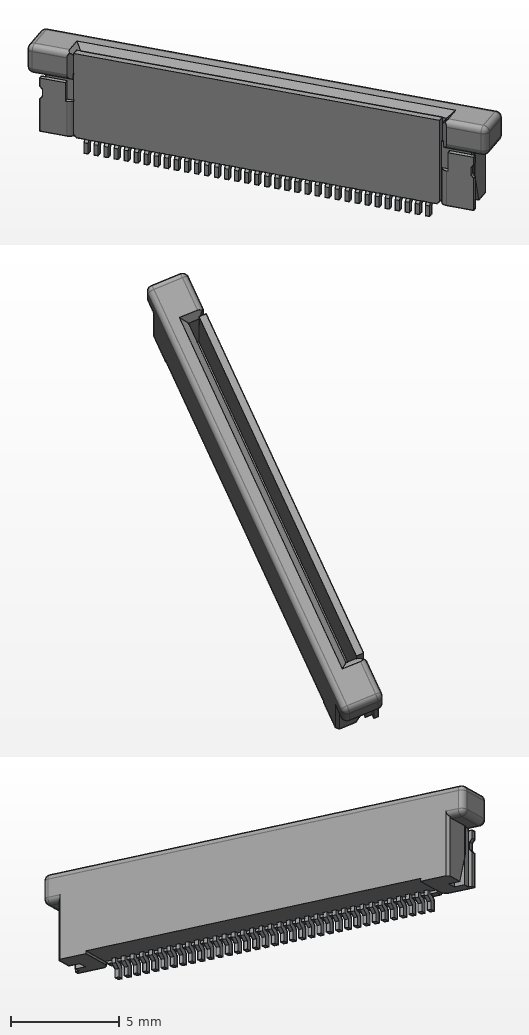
import cadquery as cq
import math


total_length = 22.93
total_depth = 2.05
total_height = 5.11

cap_height = 1.5
cap_radius = 0.3

body_half = 10.65
body_height = 4.38
body_back_chamfer = 0.14
shoulder_y = 0.57
relief_top_depth = 2.9
relief_back_y = 1.05
recess_y = 0.23
inner_body_half = 10.6
relief_inner_half = 10.05

plate_half = 9.1
plate_thickness = 0.37
plate_corner = 0.14

slot_back_y = 0.9
slot_depth = 3.45
flare = 0.32
mouth_half = plate_half + flare
cheek_chamfer = 0.35

tab_half = 10.8
tab_top_depth = 1.6
tab_thickness = recess_y
tab_inner_half = 9.52
bend_top_depth = 2.57
bend_radius = 0.35
notch_depth = 0.14
notch_top = 2.02
notch_bottom = 2.7
notch_ramp = 0.15

pin_count = 35
pin_row_length = 17.0
pin_pitch = pin_row_length / (pin_count - 1)
pin_width = 0.2
pin_thickness = 0.3
pin_root_depth = 4.13
pin_bend_gap = 0.11
pin_bend_depth = body_height + pin_bend_gap
pin_front_drop = 0.07
pin_back_drop = 0.2
contact_back_y = 0.69
contact_height = 0.45


def block(half_width, y_front, y_back, depth_top, depth_bottom):
    """Box centred on X, between two Y places and two depths below the top."""
    height = depth_bottom - depth_top
    return (
        cq.Workplane("XY", origin=(0, y_front, -depth_bottom))
        .box(2 * half_width, y_back - y_front, height, centered=(True, False, False))
    )


def side_profile(points, half_width):
    """Profile of (y, z) points extruded symmetrically along X."""
    return cq.Workplane("YZ").polyline(points).close().extrude(half_width, both=True)


def both_ends(solid):
    """The solid together with its mirror image at the other end."""
    return solid.union(solid.mirror("YZ"))


def make_cap():
    cap = block(total_length / 2, 0, total_depth, 0, cap_height).edges().fillet(cap_radius)
    opening = (
        cq.Workplane("XY", origin=(0, 0, -cap_height))
        .polyline([
            (-plate_half - cheek_chamfer, 0),
            (plate_half + cheek_chamfer, 0),
            (plate_half, cheek_chamfer),
            (-plate_half, cheek_chamfer),
        ])
        .close()
        .extrude(cap_height)
    )
    return cap.cut(opening)


def make_body():
    wide = block(body_half, shoulder_y, total_depth, cap_height / 2, body_height)
    wide = wide.edges("|Z and >Y").chamfer(body_back_chamfer)
    relief = side_profile(
        [(shoulder_y, -relief_top_depth), (relief_back_y, -body_height), (shoulder_y, -body_height)],
        body_half,
    )
    relief = relief.cut(block(relief_inner_half, 0, total_depth, 0, body_height))
    inner = block(inner_body_half, recess_y, shoulder_y, cap_height - cap_radius, body_height)
    underside = block(plate_half, 0, total_depth, body_height - plate_corner, body_height)
    return wide.cut(relief).union(inner).cut(underside)


def make_plate():
    plate = block(plate_half, 0, plate_thickness, 0, body_height)
    return plate.edges("|Y and <Z").chamfer(plate_corner)


def make_slot():
    slot = block(plate_half, plate_thickness, slot_back_y, 0, slot_depth)
    mouth_back = slot_back_y + flare
    flare_cut = (
        cq.Workplane("XY")
        .rect(2 * mouth_half, 2 * mouth_back)
        .workplane(offset=-flare)
        .rect(2 * plate_half, 2 * slot_back_y)
        .loft(ruled=True)
    )
    return slot.union(flare_cut)


def make_tab():
    sheet = (
        cq.Workplane("XZ")
        .polyline([
            (-tab_half, -tab_top_depth),
            (-tab_half, -notch_top),
            (-tab_half + notch_depth, -notch_top - notch_ramp),
            (-tab_half + notch_depth, -notch_bottom + notch_ramp),
            (-tab_half, -notch_bottom),
            (-tab_half, -body_height),
            (-tab_inner_half, -body_height),
            (-tab_inner_half, -tab_top_depth),
        ])
        .close()
        .extrude(-tab_thickness)
    )
    bend_center = -plate_half - bend_radius
    mid = bend_radius * math.sqrt(0.5)
    bend = (
        cq.Workplane("XY", origin=(0, 0, -body_height))
        .moveTo(-tab_inner_half, 0)
        .lineTo(bend_center, 0)
        .threePointArc((bend_center + mid, bend_radius - mid), (-plate_half, bend_radius))
        .lineTo(-tab_inner_half, bend_radius)
        .close()
        .extrude(body_height - bend_top_depth)
    )
    return sheet.union(bend)


def make_pins():
    foot = side_profile(
        [
            (0, -total_height),
            (0, -pin_bend_depth - pin_front_drop),
            (pin_thickness, pin_thickness - pin_bend_depth - pin_front_drop),
            (pin_thickness, -pin_root_depth),
            (shoulder_y, -pin_root_depth),
            (shoulder_y, -pin_bend_depth),
            (pin_thickness, -pin_bend_depth - pin_back_drop),
            (pin_thickness, -total_height),
        ],
        pin_width / 2,
    )
    contact = block(pin_width / 2, shoulder_y, contact_back_y, slot_depth - contact_height, slot_depth)
    places = [(i * pin_pitch - pin_row_length / 2, 0) for i in range(pin_count)]
    feet = cq.Workplane("XY").pushPoints(places).eachpoint(lambda place: foot.val().moved(place))
    stubs = cq.Workplane("XY").pushPoints(places).eachpoint(lambda place: contact.val().moved(place))
    return feet, stubs


housing = make_cap().union(make_body()).cut(make_slot())
housing = housing.union(make_plate()).union(both_ends(make_tab()))
feet, stubs = make_pins()
result = housing.union(feet).union(stubs)